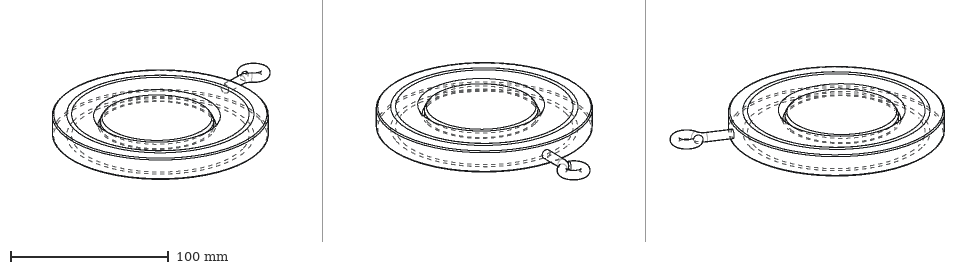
import cadquery as cq
import math

total_length = 178.0
total_thickness = 15.8

body_diameter = 137.0
body_chamfer = 0.9
body_radius = body_diameter / 2

seal_cord_diameter = 5.0
seal_circle_radius = 57.8
seal_protrusion = 0.5
body_thickness = total_thickness - 2 * seal_protrusion
top_z = body_thickness / 2

recess_offset = -3.5
recess_top_diameter = 80.5
recess_floor_diameter = 74.8
recess_depth = 6.4

flap_diameter = 72.0
flap_chamfer_width = 1.2
flap_chamfer_height = 2.1
flap_top_depth = 1.2

wire_diameter = 6.0
eye_outer_diameter = 21.0
bend_start_angle = 30.0
eye_end_angle = 15.0
shank_embedment = 3.5
eye_radius = (eye_outer_diameter - wire_diameter) / 2


def make_body():
    disc = cq.Workplane("XY", origin=(0, 0, -top_z)).circle(body_radius).extrude(body_thickness)
    return disc.faces("|Z").edges().chamfer(body_chamfer)


def make_seal_ring(side):
    """Round cord showing above the top face (side=1) or below the bottom face (side=-1)."""
    cord_radius = seal_cord_diameter / 2
    cord_z = side * (total_thickness / 2 - cord_radius)
    return (
        cq.Workplane("XZ")
        .center(seal_circle_radius, cord_z)
        .circle(cord_radius)
        .revolve(360, (-seal_circle_radius, 0), (-seal_circle_radius, 1))
    )


def make_recess():
    taper = math.degrees(math.atan2((recess_top_diameter - recess_floor_diameter) / 2, recess_depth))
    return (
        cq.Workplane("XY", origin=(0, recess_offset, top_z))
        .circle(recess_top_diameter / 2)
        .extrude(-recess_depth, taper=taper)
    )


def make_flap():
    return (
        cq.Workplane("XY", origin=(0, recess_offset, top_z - recess_depth))
        .circle(flap_diameter / 2)
        .extrude(recess_depth - flap_top_depth)
        .faces(">Z")
        .edges()
        .chamfer(flap_chamfer_height, flap_chamfer_width)
    )


def make_eye_bolt():
    """Sweep the wire up the shank, right through the bend, then around the eye."""
    eye_y = total_length - body_radius - eye_outer_diameter / 2

    def on_eye(angle_from_bottom):
        angle = math.radians(angle_from_bottom)
        return (eye_radius * math.sin(angle), eye_y - eye_radius * math.cos(angle))

    bend_end = on_eye(bend_start_angle)
    bend_turn = math.radians(90 - bend_start_angle)
    bend_radius = bend_end[0] / (1 - math.cos(bend_turn))
    bend_start_y = bend_end[1] - bend_radius * math.sin(bend_turn)
    bend_middle = (
        bend_radius * (1 - math.cos(bend_turn / 2)),
        bend_start_y + bend_radius * math.sin(bend_turn / 2),
    )

    shank_start_y = body_radius - shank_embedment
    path = (
        cq.Workplane("XY")
        .moveTo(0, shank_start_y)
        .lineTo(0, bend_start_y)
        .threePointArc(bend_middle, bend_end)
        .threePointArc(on_eye(180), on_eye(360 - eye_end_angle))
    )
    wire_section = cq.Workplane("XZ", origin=(0, shank_start_y, 0)).circle(wire_diameter / 2)
    return wire_section.sweep(path)


result = make_body()
for side in (1, -1):
    result = result.union(make_seal_ring(side))
result = result.cut(make_recess()).union(make_flap()).union(make_eye_bolt())